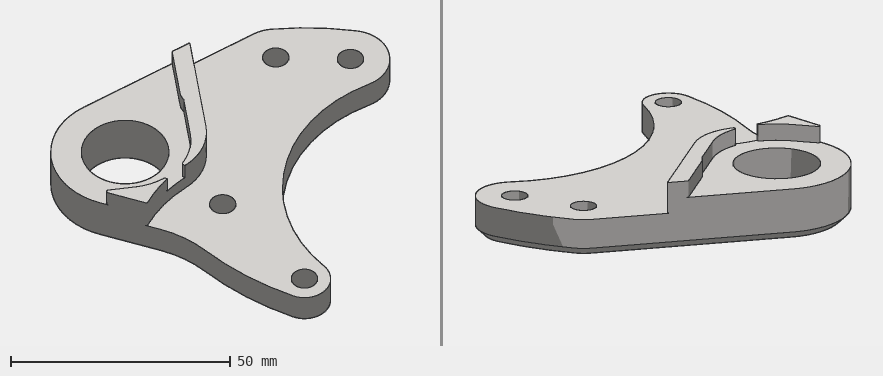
import cadquery as cq
import math

PLATE_TOP = 9.0
HUB_TOP = 12.5
RIDGE_TOP = 16.5
UNDERSIDE_CHAMFER = 2.0

HUB_CENTRE = (0.0, 0.0)
HUB_RADIUS = 17.0
BORE_RADIUS = 10.0

HOLE_RADIUS = 3.0
TIP_HOLE = (25.83, 55.17)
SHOULDER_HOLE = (11.2, 46.4)
TOE_HOLE = (54.17, -8.85)
INNER_HOLE = (25.83, 0.9)
TIP_RADIUS = 9.0
SHOULDER_RADIUS = 9.0
TOE_RADIUS = 6.0

CREST_RADIUS = 70.0
BAY_RADIUS = 36.8
BELLY_RADIUS = 71.0
BELLY_END_SLOPE = 7.0
HUMP_RADIUS = 27.0
LOWER_FLANK_SLOPE = 12.4

POCKET_RADIUS = 15.0
RIDGE_NORMAL = 40.4
NARROW_POCKET_OFFSET = 14.45
POCKET_STEP_START_Y = 19.15
POCKET_STEP_END_Y = 17.9
LOWER_POCKET_NORMAL = -48.4
RIDGE_BEND_CENTRE = (2.9, 4.7)
RIDGE_BEND_RADIUS = 13.6
RIDGE_HOLLOW_RADIUS = 33.0
RIDGE_HOLLOW_Y = -8.7
GAP_TOP_Y = 0.54
GAP_BOTTOM_Y = -5.2
RIDGE_END_FILLET = 0.45
RIDGE_TIP_FILLET = 0.2

OUTER_WALL_TIP = (-4.1, 33.8)
OUTER_WALL_FOOT = (15.0, -14.1)
INNER_WALL_CORNERS = [
    (-5.9, 29.3),
    (15.0, GAP_TOP_Y),
    (14.1, GAP_BOTTOM_Y),
    (4.0, -16.5),
]

OVERSHOOT = 60.0
CLEARANCE = 1.0


def polar(centre, radius, angle):
    """Point at an angle in degrees on a circle."""
    a = math.radians(angle)
    return (centre[0] + radius * math.cos(a), centre[1] + radius * math.sin(a))


def heading(start, end):
    """Direction in degrees from one point to another."""
    return math.degrees(math.atan2(end[1] - start[1], end[0] - start[0]))


def toward(start, end, distance):
    """Point at a distance from start along the ray through end."""
    return polar(start, distance, heading(start, end))


def circle_meet(a, radius_a, b, radius_b):
    """Meeting point of two circles that lies left of the ray from a to b."""
    gap = math.dist(a, b)
    cosine = (radius_a ** 2 + gap ** 2 - radius_b ** 2) / (2 * radius_a * gap)
    return polar(a, radius_a, heading(a, b) + math.degrees(math.acos(cosine)))


def arc_middle(centre, start, end):
    """Middle point of the shorter arc between two points on a circle."""
    middle = ((start[0] + end[0]) / 2, (start[1] + end[1]) / 2)
    return toward(centre, middle, math.dist(centre, start))


def add_arc(path, centre, start, end):
    """Extend a path from start to end around a centre."""
    return path.threePointArc(arc_middle(centre, start, end), end)


def point_on_line(normal, offset, y):
    """Point at height y on the line with a given normal angle and distance from the hub centre."""
    a = math.radians(normal)
    return ((offset - y * math.sin(a)) / math.cos(a), y)


def make_plan(height):
    """Prism over the outer outline, with arcs tangent to their neighbours."""
    lean = math.degrees(math.asin((HUB_RADIUS - SHOULDER_RADIUS) / math.dist(HUB_CENTRE, SHOULDER_HOLE)))
    flank_normal = heading(HUB_CENTRE, SHOULDER_HOLE) - lean + 90
    hub_left = polar(HUB_CENTRE, HUB_RADIUS, flank_normal)
    shoulder_start = polar(SHOULDER_HOLE, SHOULDER_RADIUS, flank_normal)

    tip_reach = CREST_RADIUS - TIP_RADIUS
    shoulder_reach = CREST_RADIUS - SHOULDER_RADIUS
    crest_centre = circle_meet(TIP_HOLE, tip_reach, SHOULDER_HOLE, shoulder_reach)
    shoulder_end = toward(crest_centre, SHOULDER_HOLE, CREST_RADIUS)
    tip_start = toward(crest_centre, TIP_HOLE, CREST_RADIUS)

    bay_centre = circle_meet(TIP_HOLE, BAY_RADIUS + TIP_RADIUS, TOE_HOLE, BAY_RADIUS + TOE_RADIUS)
    tip_end = toward(bay_centre, TIP_HOLE, BAY_RADIUS)
    toe_start = toward(bay_centre, TOE_HOLE, BAY_RADIUS)

    belly_centre = polar(TOE_HOLE, BELLY_RADIUS - TOE_RADIUS, 90 + BELLY_END_SLOPE)
    toe_end = toward(belly_centre, TOE_HOLE, BELLY_RADIUS)
    lower_normal = LOWER_FLANK_SLOPE - 90
    hub_bottom = polar(HUB_CENTRE, HUB_RADIUS, lower_normal)
    hump_rail = polar(HUB_CENTRE, HUB_RADIUS + HUMP_RADIUS, lower_normal)
    turn = math.radians(heading(hump_rail, belly_centre) - LOWER_FLANK_SLOPE)
    reach = math.dist(hump_rail, belly_centre)
    side = reach * math.sin(turn)
    slide = reach * math.cos(turn) - math.sqrt((BELLY_RADIUS + HUMP_RADIUS) ** 2 - side ** 2)
    hump_centre = polar(hump_rail, slide, LOWER_FLANK_SLOPE)
    belly_end = toward(belly_centre, hump_centre, BELLY_RADIUS)
    hump_end = polar(hump_centre, HUMP_RADIUS, lower_normal + 180)

    path = cq.Workplane("XY").moveTo(*hub_left).lineTo(*shoulder_start)
    path = add_arc(path, SHOULDER_HOLE, shoulder_start, shoulder_end)
    path = add_arc(path, crest_centre, shoulder_end, tip_start)
    path = add_arc(path, TIP_HOLE, tip_start, tip_end)
    path = add_arc(path, bay_centre, tip_end, toe_start)
    path = add_arc(path, TOE_HOLE, toe_start, toe_end)
    path = add_arc(path, belly_centre, toe_end, belly_end)
    path = add_arc(path, hump_centre, belly_end, hump_end)
    path = path.lineTo(*hub_bottom)
    path = add_arc(path, HUB_CENTRE, hub_bottom, hub_left)
    return path.close().extrude(height)


def make_raised_zone():
    """Everything on the hub side of the ridge's outer wall, up to the ridge top."""
    bend_start = polar(RIDGE_BEND_CENTRE, RIDGE_BEND_RADIUS, RIDGE_NORMAL)
    wall_start = polar(bend_start, OVERSHOOT, RIDGE_NORMAL + 90)
    drop = RIDGE_BEND_CENTRE[1] - RIDGE_HOLLOW_Y
    run = math.sqrt((RIDGE_BEND_RADIUS + RIDGE_HOLLOW_RADIUS) ** 2 - drop ** 2)
    hollow_centre = (RIDGE_BEND_CENTRE[0] + run, RIDGE_HOLLOW_Y)
    bend_end = toward(RIDGE_BEND_CENTRE, hollow_centre, RIDGE_BEND_RADIUS)
    below_hub = -HUB_RADIUS - CLEARANCE
    depth = RIDGE_HOLLOW_Y - below_hub
    hollow_end = (hollow_centre[0] - math.sqrt(RIDGE_HOLLOW_RADIUS ** 2 - depth ** 2), below_hub)

    path = cq.Workplane("XY").moveTo(*wall_start).lineTo(*bend_start)
    path = add_arc(path, RIDGE_BEND_CENTRE, bend_start, bend_end)
    path = add_arc(path, hollow_centre, bend_end, hollow_end)
    path = path.lineTo(-OVERSHOOT, below_hub).lineTo(-OVERSHOOT, wall_start[1])
    return path.close().extrude(RIDGE_TOP)


def make_pocket():
    """Space above the hub face, bounded by the ridge's inner wall."""
    step_start = point_on_line(RIDGE_NORMAL, NARROW_POCKET_OFFSET, POCKET_STEP_START_Y)
    step_end = point_on_line(RIDGE_NORMAL, POCKET_RADIUS, POCKET_STEP_END_Y)
    wall_start = polar(step_start, OVERSHOOT, RIDGE_NORMAL + 90)
    bend_start = polar(HUB_CENTRE, POCKET_RADIUS, RIDGE_NORMAL)
    bend_end = polar(HUB_CENTRE, POCKET_RADIUS, LOWER_POCKET_NORMAL)
    wall_end = polar(bend_end, OVERSHOOT, LOWER_POCKET_NORMAL - 90)

    path = cq.Workplane("XY").workplane(offset=HUB_TOP).moveTo(*wall_start).lineTo(*step_start)
    path = path.tangentArcPoint(step_end, relative=False).lineTo(*bend_start)
    path = add_arc(path, HUB_CENTRE, bend_start, bend_end)
    path = path.lineTo(*wall_end).lineTo(-OVERSHOOT, wall_end[1]).lineTo(-OVERSHOOT, wall_start[1])
    pocket = path.close().extrude(RIDGE_TOP - HUB_TOP)

    gap_width = GAP_TOP_Y - GAP_BOTTOM_Y
    gap = cq.Workplane("XY").box(OVERSHOOT, gap_width, RIDGE_TOP - HUB_TOP, centered=False)
    gap = gap.translate((HUB_CENTRE[0], GAP_BOTTOM_Y, HUB_TOP))
    return pocket.union(gap)


def round_corner(block, corner, middle_height, radius):
    """Fillet the upright edge closest to the given place."""
    upright = cq.selectors.NearestToPointSelector((*corner, middle_height))
    return block.edges("|Z").edges(upright).fillet(radius)


def make_hub_and_ridge():
    """Thick hub block with the ridge standing on it, its upright corners rounded."""
    block = make_plan(RIDGE_TOP).intersect(make_raised_zone())
    block = round_corner(block, OUTER_WALL_TIP, RIDGE_TOP / 2, RIDGE_TIP_FILLET)
    block = round_corner(block, OUTER_WALL_FOOT, RIDGE_TOP / 2, RIDGE_END_FILLET)
    block = block.cut(make_pocket())
    for corner in INNER_WALL_CORNERS:
        block = round_corner(block, corner, (HUB_TOP + RIDGE_TOP) / 2, RIDGE_END_FILLET)
    return block


def make_holes():
    """Through bore and screw holes."""
    screw_places = [TIP_HOLE, SHOULDER_HOLE, TOE_HOLE, INNER_HOLE]
    screws = cq.Workplane("XY").pushPoints(screw_places).circle(HOLE_RADIUS).extrude(RIDGE_TOP)
    bore = cq.Workplane("XY").circle(BORE_RADIUS).extrude(RIDGE_TOP)
    return screws.union(bore)


body = make_plan(PLATE_TOP).union(make_hub_and_ridge())
body = body.faces("<Z").edges().chamfer(UNDERSIDE_CHAMFER)
result = body.cut(make_holes())